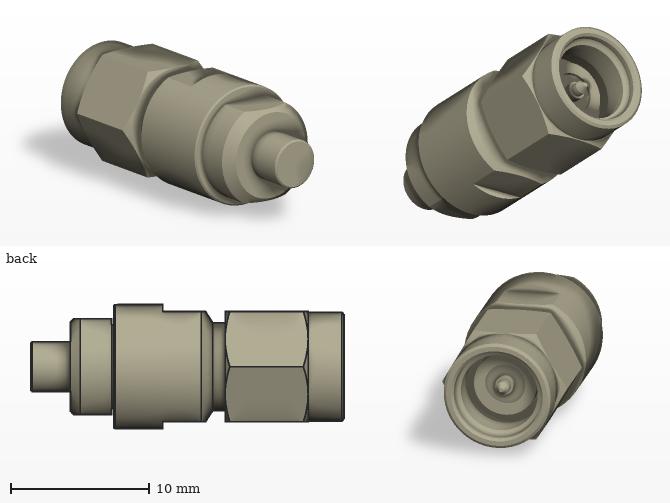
import cadquery as cq
import math

nut_hex_start = 2.6
nut_end = 8.6
body_cone_start = 9.51
body_cone_end = 10.33
body_flat_end = 13.11
body_end = 16.67
clamp_start = 16.8
clamp_cone_start = 19.07
clamp_end = 19.8
total_length = 22.65

hex_sides = 6
nut_across_flats = 8.0
nut_flat_radius = nut_across_flats / 2
nut_corner_radius = nut_flat_radius / math.cos(math.pi / hex_sides)
hex_chamfer_length = 0.35
nut_sleeve_radius = 3.95
nut_rim_length = 0.15
nut_rim_depth = 0.2
mouth_radius = 3.22
mouth_chamfer = 0.18
mouth_depth = 0.65
thread_radius = 2.83
thread_start = 0.95
thread_end = 2.9

neck_radius = 3.2
thread_flare_length = neck_radius - thread_radius
body_diameter = 9.0
body_radius = body_diameter / 2
body_rim_chamfer = 0.11
body_flat_height = nut_flat_radius

nose_front = 3.13
nose_radius = 2.3
nose_root = 4.53
socket_radius = 1.47
socket_floor = 3.35
pin_tip = 1.59
pin_tip_radius = 0.15
pin_cone_length = 0.52
pin_radius = 0.48
pin_shoulder = 2.72
pin_shank_radius = 0.65

clamp_radius = 3.95
clamp_flat_height = 3.47
clamp_end_radius = clamp_radius - (clamp_end - clamp_cone_start)
clamp_spigot_radius = 3.04
cable_radius = 1.81
cable_rim_chamfer = 0.11


def revolve_profile(points):
    """Solid of revolution about the X axis from a half profile of (x, radius) points."""
    return cq.Workplane("XY").polyline(points).close().revolve(360, (0, 0, 0), (1, 0, 0))


def cut_two_flats(turned, start, end, flat_height):
    """Mill parallel flats on the top and bottom of a turned part, from start to end along X."""
    width = 2 * body_radius
    block = cq.Workplane("XY").box(end - start, width, body_radius, centered=(False, True, False))
    upper = block.translate((start, 0, flat_height))
    lower = block.translate((start, 0, -flat_height - body_radius))
    return turned.cut(upper).cut(lower)


def make_nut():
    """Hexagonal nut with chamfered corners, a round front sleeve and a stepped through bore."""
    hexagon = (
        cq.Workplane("YZ", origin=(nut_hex_start, 0, 0))
        .polygon(hex_sides, 2 * nut_corner_radius)
        .extrude(nut_end - nut_hex_start)
    )
    corner_limit = revolve_profile([
        (nut_hex_start, 0),
        (nut_hex_start, nut_flat_radius),
        (nut_hex_start + hex_chamfer_length, nut_corner_radius),
        (nut_end - hex_chamfer_length, nut_corner_radius),
        (nut_end, nut_flat_radius),
        (nut_end, 0),
    ])
    sleeve = revolve_profile([
        (0, 0),
        (0, nut_sleeve_radius - nut_rim_depth),
        (nut_rim_length, nut_sleeve_radius),
        (nut_hex_start, nut_sleeve_radius),
        (nut_hex_start, 0),
    ])
    bore = revolve_profile([
        (0, 0),
        (0, mouth_radius + mouth_chamfer),
        (mouth_chamfer, mouth_radius),
        (mouth_depth, mouth_radius),
        (thread_start, thread_radius),
        (thread_end, thread_radius),
        (thread_end + thread_flare_length, neck_radius),
        (nut_end, neck_radius),
        (nut_end, 0),
    ])
    return hexagon.intersect(corner_limit).union(sleeve).cut(bore)


def make_body():
    """Turned body with wrench flats; its neck fits the nut bore and its nose carries the pin."""
    turned = revolve_profile([
        (pin_tip, 0),
        (pin_tip, pin_tip_radius),
        (pin_tip + pin_cone_length, pin_radius),
        (pin_shoulder, pin_radius),
        (pin_shoulder, pin_shank_radius),
        (socket_floor, pin_shank_radius),
        (socket_floor, socket_radius),
        (nose_front, socket_radius),
        (nose_front, nose_radius),
        (nose_root, nose_radius),
        (nose_root, neck_radius),
        (body_cone_start, neck_radius),
        (body_cone_end, body_radius),
        (body_end - body_rim_chamfer, body_radius),
        (body_end, body_radius - body_rim_chamfer),
        (body_end, 0),
    ])
    return cut_two_flats(turned, body_cone_start, body_flat_end, body_flat_height)


def make_clamp():
    """Rear clamp with two flats, a spigot that meets the body and a cable sleeve."""
    turned = revolve_profile([
        (body_end, 0),
        (body_end, clamp_spigot_radius),
        (clamp_start, clamp_spigot_radius),
        (clamp_start, clamp_radius),
        (clamp_cone_start, clamp_radius),
        (clamp_end, clamp_end_radius),
        (clamp_end, cable_radius),
        (total_length - cable_rim_chamfer, cable_radius),
        (total_length, cable_radius - cable_rim_chamfer),
        (total_length, 0),
    ])
    return cut_two_flats(turned, clamp_start, clamp_end, clamp_flat_height)


nut = make_nut()
body = make_body()
clamp = make_clamp()
result = cq.Compound.makeCompound([nut.val(), body.val(), clamp.val()])